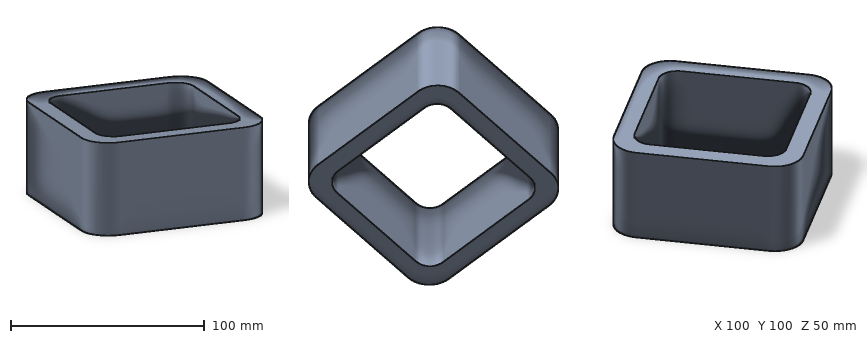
import cadquery as cq

outer_side = 100.0
height = 50.0
wall = 10.0
outer_corner_radius = 15.0
inner_corner_radius = 10.0

inner_side = outer_side - 2 * wall


def rounded_square_block(side, corner_radius):
    """Square block centred on the origin with rounded vertical edges."""
    block = cq.Workplane("XY").box(side, side, height)
    return block.edges("|Z").fillet(corner_radius)


outer_block = rounded_square_block(outer_side, outer_corner_radius)
opening = rounded_square_block(inner_side, inner_corner_radius)
result = outer_block.cut(opening)